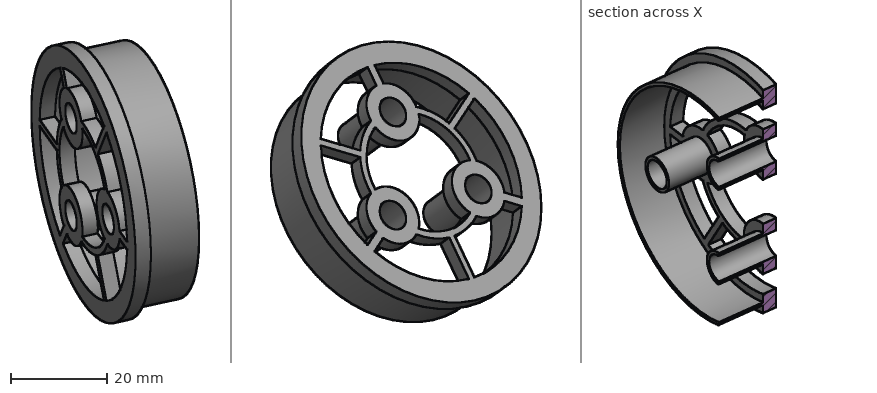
import cadquery as cq

flange_diameter = 59.0
flange_bore = 49.4
flange_thickness = 3.4
barrel_diameter = 55.0
barrel_bore = 53.4
total_depth = 15.0

web_thickness = flange_thickness
ring_outer_diameter = 30.1
ring_inner_diameter = 26.9
boss_count = 3
boss_spacing = 360 / boss_count
boss_circle_radius = 14.0
boss_diameter = 13.0
boss_hole = 6.5
tube_diameter = 8.1
boss_spoke_width = 2.0
ring_spoke_width = 1.6

spoke_end_radius = (flange_bore + barrel_bore) / 4
ring_middle_radius = (ring_outer_diameter + ring_inner_diameter) / 4


def cylinder(diameter, depth, x=0.0):
    """Solid cylinder from the front face (Y = 0) back to Y = depth."""
    return cq.Workplane("XZ").center(x, 0).circle(diameter / 2).extrude(-depth)


def spoke(inner_radius, width):
    """Radial bar along +X reaching into the flange."""
    length = spoke_end_radius - inner_radius
    middle = inner_radius + length / 2
    return cq.Workplane("XZ").center(middle, 0).rect(length, width).extrude(-web_thickness)


def turned(body, angle):
    """Body rotated about the part axis, from +X towards +Z."""
    return body.rotate((0, 0, 0), (0, -1, 0), angle)


rim = cylinder(flange_diameter, flange_thickness).union(cylinder(barrel_diameter, total_depth))
rim = rim.cut(cylinder(flange_bore, total_depth))
wide_bore = cylinder(barrel_bore, total_depth).cut(cylinder(barrel_bore, flange_thickness))
rim = rim.cut(wide_bore)

ring = cylinder(ring_outer_diameter, web_thickness).cut(cylinder(ring_inner_diameter, web_thickness))
result = rim.union(ring)

boss = cylinder(boss_diameter, web_thickness, boss_circle_radius)
tube = cylinder(tube_diameter, total_depth, boss_circle_radius)
hole = cylinder(boss_hole, total_depth, boss_circle_radius)
boss_spoke = spoke(boss_circle_radius, boss_spoke_width)
ring_spoke = spoke(ring_middle_radius, ring_spoke_width)

for index in range(boss_count):
    angle = index * boss_spacing
    result = result.union(turned(boss.union(tube).union(boss_spoke), angle))
    result = result.union(turned(ring_spoke, angle + boss_spacing / 2))
    result = result.cut(turned(hole, angle))